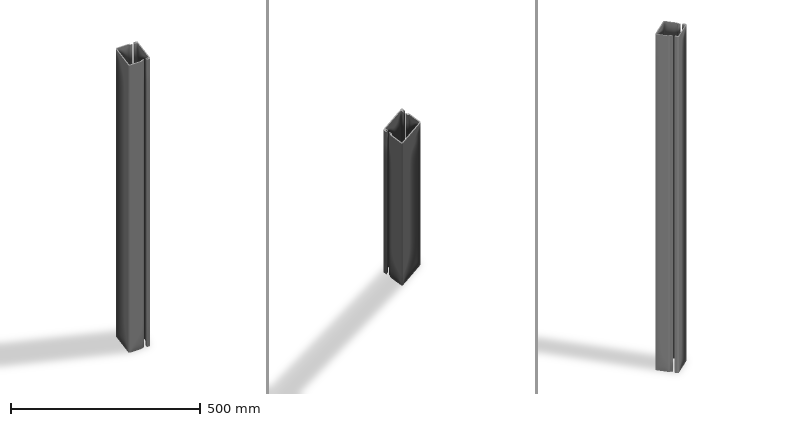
import cadquery as cq

LENGTH = 1000.0
WIDTH = 80.0
DEPTH = 65.0

WALL = 3.0
CORNER_RADIUS = 4.5
INNER_RADIUS = CORNER_RADIUS - WALL

LID_RIM_Y = 21.0
BASE_RIM_Y = 15.0
LID_RIM_HEIGHT = 3.0
LID_GROOVE_DEPTH = 4.0
SHOULDER_TOP_Y = 10.0
SHOULDER_DROP = 2.5
SHOULDER_INSET = 1.0

SKIRT_INSET = 0.5
SKIRT_TAPER = 0.3
SKIRT_THICKNESS = 2.5
GROOVE_WIDTH = 3.0
LEG_THICKNESS = 2.0
LIP_THICKNESS = 2.5
BEAD_OVERHANG = 1.0
BEAD_TOP_DROP = 2.5

half_width = WIDTH / 2
half_depth = DEPTH / 2
inner_half_width = half_width - WALL
groove_outer_x = half_width - SKIRT_THICKNESS
groove_inner_x = groove_outer_x - GROOVE_WIDTH
leg_inner_x = groove_inner_x - LEG_THICKNESS


def extrude_section(half_section):
    """Extrude a right-hand half section and mirror it into a full profile."""
    half = half_section.close().extrude(LENGTH / 2, both=True)
    return half.union(half.mirror("YZ")).clean()


def make_base():
    """U-shaped channel whose walls end in inset lips with snap beads."""
    floor_y = -half_depth + WALL
    lip_outer_x = inner_half_width - BEAD_OVERHANG
    lip_inner_x = lip_outer_x - LIP_THICKNESS
    bead_x = lip_outer_x + BEAD_OVERHANG
    section = (
        cq.Workplane("XY")
        .moveTo(0, -half_depth)
        .lineTo(half_width - CORNER_RADIUS, -half_depth)
        .radiusArc((half_width, -half_depth + CORNER_RADIUS), -CORNER_RADIUS)
        .lineTo(half_width, SHOULDER_TOP_Y - 2 * SHOULDER_DROP)
        .lineTo(half_width - SHOULDER_INSET, SHOULDER_TOP_Y - SHOULDER_DROP)
        .lineTo(half_width - SHOULDER_INSET, SHOULDER_TOP_Y)
        .lineTo(lip_outer_x, SHOULDER_TOP_Y)
        .lineTo(bead_x, BASE_RIM_Y - BEAD_TOP_DROP)
        .lineTo(lip_outer_x, BASE_RIM_Y)
        .lineTo(lip_inner_x, BASE_RIM_Y)
        .lineTo(lip_inner_x, SHOULDER_TOP_Y - SHOULDER_DROP)
        .lineTo(inner_half_width, SHOULDER_TOP_Y - 2 * SHOULDER_DROP)
        .lineTo(inner_half_width, floor_y + INNER_RADIUS)
        .radiusArc((inner_half_width - INNER_RADIUS, floor_y), INNER_RADIUS)
        .lineTo(0, floor_y)
    )
    return extrude_section(section)


def make_lid():
    """Flat cover with a skirt and an inner leg along each long edge."""
    underside_y = half_depth - WALL
    groove_top_y = LID_RIM_Y + LID_GROOVE_DEPTH
    rim_top_y = LID_RIM_Y + LID_RIM_HEIGHT
    skirt_x = half_width - SKIRT_INSET
    section = (
        cq.Workplane("XY")
        .moveTo(0, half_depth)
        .lineTo(half_width - CORNER_RADIUS, half_depth)
        .radiusArc((half_width, half_depth - CORNER_RADIUS), CORNER_RADIUS)
        .lineTo(skirt_x, rim_top_y)
        .lineTo(half_width, rim_top_y)
        .lineTo(half_width - SKIRT_TAPER, LID_RIM_Y)
        .lineTo(groove_outer_x, LID_RIM_Y)
        .lineTo(groove_outer_x, groove_top_y)
        .lineTo(groove_inner_x, groove_top_y)
        .lineTo(groove_inner_x, LID_RIM_Y)
        .lineTo(leg_inner_x, LID_RIM_Y)
        .lineTo(leg_inner_x, underside_y)
        .lineTo(0, underside_y)
    )
    return extrude_section(section)


base = make_base()
lid = make_lid()

result = cq.Compound.makeCompound([base.val(), lid.val()])